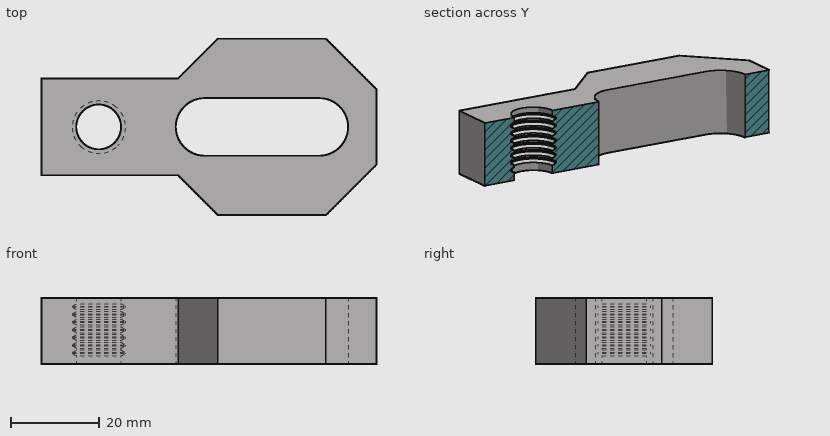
import cadquery as cq
import math

length = 76.0
head_width = 40.0
arm_width = 22.0
thickness = 15.0
arm_length = 31.0
shoulder = (head_width - arm_width) / 2
corner_cut = 11.5

slot_width = 13.0
slot_start = 30.5
slot_length = 39.0
slot_center_x = slot_start + slot_length / 2

hole_x = 13.0
thread_pitch = 1.75
thread_major_diameter = 12.0
sharp_height = thread_pitch * math.sqrt(3) / 2
thread_depth = sharp_height * 5 / 8
bore_radius = thread_major_diameter / 2 - thread_depth
crest_flat = thread_pitch / 4
root_flat = thread_pitch / 8
groove_count = 7
groove_mouth = thread_pitch - crest_flat
plain_entry = 0.75 * thread_pitch


def make_plate():
    half_arm = arm_width / 2
    half_head = head_width / 2
    upper_edge = [
        (0, half_arm),
        (arm_length, half_arm),
        (arm_length + shoulder, half_head),
        (length - corner_cut, half_head),
        (length, half_head - corner_cut),
    ]
    lower_edge = [(x, -y) for x, y in reversed(upper_edge)]
    return cq.Workplane("XY").polyline(upper_edge + lower_edge).close().extrude(thickness)


def make_slot():
    return (
        cq.Workplane("XY")
        .center(slot_center_x, 0)
        .slot2D(slot_length, slot_width)
        .extrude(thickness)
    )


def make_threaded_hole():
    """Bore and thread grooves as one solid of revolution about the hole axis."""
    flank_rise = (groove_mouth - root_flat) / 2
    root_radius = bore_radius + thread_depth
    lowest_groove_z = thickness - plain_entry - groove_mouth - (groove_count - 1) * thread_pitch
    profile = [(0, 0), (bore_radius, 0)]
    for index in range(groove_count):
        bottom = lowest_groove_z + index * thread_pitch
        profile += [
            (bore_radius, bottom),
            (root_radius, bottom + flank_rise),
            (root_radius, bottom + flank_rise + root_flat),
            (bore_radius, bottom + groove_mouth),
        ]
    profile += [(bore_radius, thickness), (0, thickness)]
    return (
        cq.Workplane("YZ", origin=(hole_x, 0, 0))
        .polyline(profile)
        .close()
        .revolve(360, (0, 0, 0), (0, 1, 0))
    )


result = make_plate().cut(make_slot()).cut(make_threaded_hole())